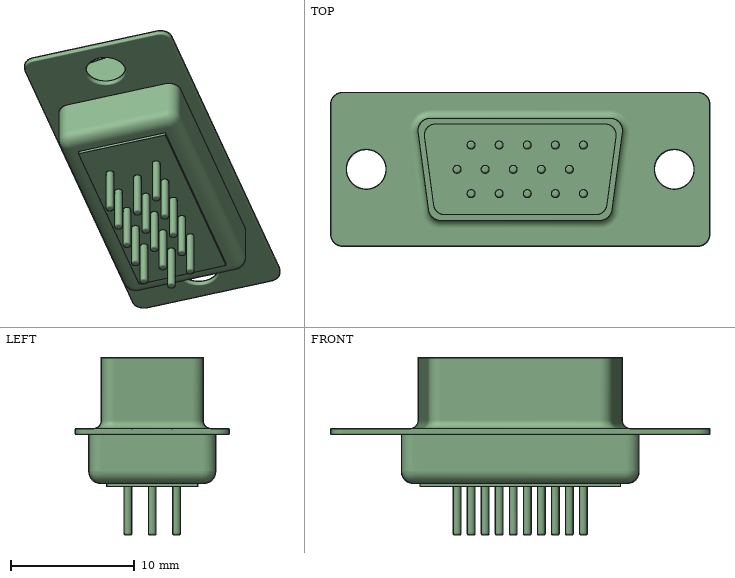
import cadquery as cq
import math

flange_length = 30.8
flange_width = 12.5
flange_thickness = 0.5
flange_corner_radius = 1.0
flange_edge_round = 0.1
mount_hole_diameter = 3.2
mount_hole_spacing = 25.0

shell_height = 5.75
shell_depth = 8.3
shell_long_side = 16.88
shell_side_angle = 7.6
shell_corner_radius = 1.0
shell_wall = 0.45
cavity_corner_radius = 0.9
cavity_floor_height = 2.22
shell_root_fillet = 0.65
zone_margin = 0.03

body_length = 19.3
body_width = 10.32
body_depth = 3.97
body_corner_radius = 1.02
body_bottom_round = 1.0

insert_length = 16.3
insert_width = 7.4
insert_thickness = 0.25

pin_diameter = 0.65
pin_pitch = 2.28
pin_row_spacing = 1.97
pins_per_row = 5
pin_top = 5.57
pin_tail = 3.95
pin_end_round = 0.15

body_bottom = -flange_thickness - body_depth
insert_bottom = body_bottom - insert_thickness
pin_bottom = insert_bottom - pin_tail


def d_prism(inset, corner_radius, base, height):
    """Prism with the D outline, moved inwards from the shell outline by inset."""
    slope = math.radians(shell_side_angle)
    half_depth = shell_depth / 2 - inset
    middle_half = (shell_long_side - shell_depth * math.tan(slope)) / 2 - inset / math.cos(slope)
    lean = half_depth * math.tan(slope)
    corners = [
        (-middle_half - lean, half_depth),
        (middle_half + lean, half_depth),
        (middle_half - lean, -half_depth),
        (-middle_half + lean, -half_depth),
    ]
    prism = cq.Workplane("XY").workplane(offset=base).polyline(corners).close().extrude(height)
    return prism.edges("|Z").fillet(corner_radius)


def block_below(length, width, top, depth):
    """Centred block that hangs down from the given top height."""
    return cq.Workplane("XY").workplane(offset=top).rect(length, width).extrude(-depth)


def make_flange():
    """Plate with two mounting holes; its outer edges and the hole rims are rounded."""
    plate = block_below(flange_length, flange_width, 0, flange_thickness)
    plate = plate.edges("|Z").fillet(flange_corner_radius)
    hole_centers = [(-mount_hole_spacing / 2, 0), (mount_hole_spacing / 2, 0)]
    holes = cq.Workplane("XY").pushPoints(hole_centers).circle(mount_hole_diameter / 2)
    plate = plate.cut(holes.extrude(-flange_thickness))
    return plate.faces("<Z or >Z").edges().fillet(flange_edge_round)


def make_rear_body():
    """Block below the flange with rounded corners and bottom edge."""
    body = block_below(body_length, body_width, -flange_thickness, body_depth)
    body = body.edges("|Z").fillet(body_corner_radius)
    return body.faces("<Z").edges().fillet(body_bottom_round)


def make_pins():
    """Straight pins with rounded ends that run through the insert."""
    points = []
    for row in (-1, 0, 1):
        shift = -pin_pitch / 4 if row == 0 else pin_pitch / 4
        for column in range(pins_per_row):
            x = (column - (pins_per_row - 1) / 2) * pin_pitch + shift
            points.append((x, row * pin_row_spacing))
    pin = cq.Workplane("XY").workplane(offset=pin_bottom).circle(pin_diameter / 2)
    pin = pin.extrude(pin_top - pin_bottom).faces("<Z or >Z").edges().fillet(pin_end_round)
    pins = cq.Workplane("XY").pushPoints(points)
    return pins.eachpoint(lambda place: pin.val().moved(place), combine=False)


shell = d_prism(0, shell_corner_radius, -flange_thickness / 2, shell_height + flange_thickness / 2)
result = make_flange().union(shell)
root_zone = cq.selectors.BoxSelector(
    (-shell_long_side / 2, -shell_depth / 2 - zone_margin, -zone_margin),
    (shell_long_side / 2, shell_depth / 2 + zone_margin, zone_margin),
)
result = result.edges(root_zone).fillet(shell_root_fillet)

cavity_height = shell_height - cavity_floor_height
result = result.cut(d_prism(shell_wall, cavity_corner_radius, cavity_floor_height, cavity_height))

result = result.union(make_rear_body())
result = result.union(block_below(insert_length, insert_width, body_bottom, insert_thickness))
result = result.union(make_pins())